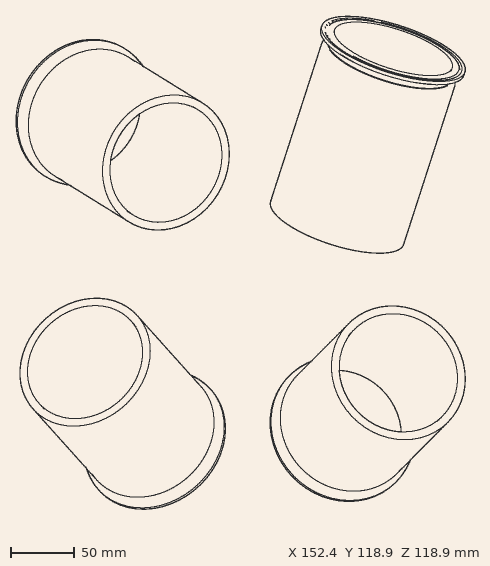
import cadquery as cq
import math

length = 152.4
flange_diameter = 118.9
tube_diameter = 110.5
neck_diameter = 102.9
bore_diameter = 97.5

rim_width = 2.9
flange_back_angle = 20.0
shoulder_end = 14.0

flange_root_fillet = 1.8
shoulder_fillet = 0.8

groove_mean_radius = 55.5
groove_width = 2.7
groove_depth = 1.0
groove_lip_fillet = 0.8

tolerance = 0.02

axis_start = (0, 0, 0)
axis_end = (1, 0, 0)

flange_radius = flange_diameter / 2
tube_radius = tube_diameter / 2
neck_radius = neck_diameter / 2
bore_radius = bore_diameter / 2

flange_back_run = (flange_radius - neck_radius) * math.tan(math.radians(flange_back_angle))
neck_start = rim_width + flange_back_run
shoulder_start = shoulder_end - (tube_radius - neck_radius)


def axial_box(x, radius):
    """Select edges lying in a thin box across the X axis, out to the given radius."""
    lower_corner = (x - tolerance, -radius, -radius)
    upper_corner = (x + tolerance, radius, radius)
    return cq.selectors.BoxSelector(lower_corner, upper_corner, boundingbox=True)


def circle_at(x, radius):
    """Select the circular edge centred on the X axis at one position and radius."""
    return axial_box(x, radius + tolerance) - axial_box(x, radius - tolerance)


def make_body():
    """Revolve the tube wall, clamp flange and neck around the X axis."""
    return (
        cq.Workplane("XY")
        .moveTo(0, bore_radius)
        .lineTo(0, flange_radius)
        .lineTo(rim_width, flange_radius)
        .lineTo(neck_start, neck_radius)
        .lineTo(shoulder_start, neck_radius)
        .lineTo(shoulder_end, tube_radius)
        .lineTo(length, tube_radius)
        .lineTo(length, bore_radius)
        .close()
        .revolve(360, axis_start, axis_end)
    )


def make_groove():
    """Ring with a round-bottomed section that is removed from the flange face."""
    return (
        cq.Workplane("XY")
        .moveTo(0, groove_mean_radius - groove_width / 2)
        .threePointArc(
            (groove_depth, groove_mean_radius),
            (0, groove_mean_radius + groove_width / 2),
        )
        .close()
        .revolve(360, axis_start, axis_end)
    )


body = make_body()
body = body.edges(circle_at(neck_start, neck_radius)).fillet(flange_root_fillet)
body = body.edges(circle_at(shoulder_start, neck_radius)).fillet(shoulder_fillet)
body = body.edges(circle_at(shoulder_end, tube_radius)).fillet(shoulder_fillet)

body = body.cut(make_groove())
for lip_side in (-1, 1):
    lip_radius = groove_mean_radius + lip_side * groove_width / 2
    body = body.edges(circle_at(0, lip_radius)).fillet(groove_lip_fillet)

result = body